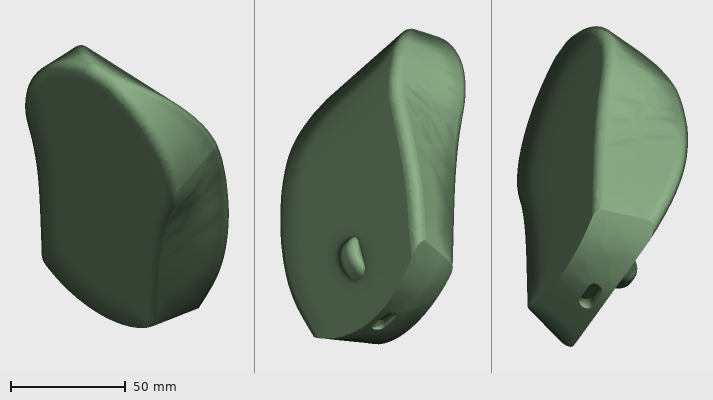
import cadquery as cq
import math

length = 170.1

nose_half_width = 5.6
base_flank_mid = (29.8, 153.6)
base_flank_end = (41.9, 119.1)
roof_flank_mid = (26.4, 145.3)
roof_flank_end = (38.5, 119.1)
nose_corner_radius = 6.8
base_flank_slope = 0.0
roof_flank_slope = -0.2

nose_height = 6.5
crest_height = 41.5
crest_z = 91.9
front_arc_mid = (34.7, 42.5)
front_arc_end = (19.9, -3.4)

roof_level = 42.5
base_waist = [(38.1, 100.4), (33.9, 79.6), (31.8, 56.1), (31.0, 20.8)]
roof_waist = [(42.7, 93.5), (45.8, 80.0), (49.7, 57.8), (50.7, 34.0), (45.8, 15.0)]
base_corner_slope = 0.0
roof_corner_slope = 0.35
base_front_z = 7.0
roof_front_z = -7.0

edge_radius = 4.5
flat_tolerance = 0.02
base_edge_min_z = 25.5
roof_edge_min_length = 17.0

slot_height = 15.0
slot_radius = 3.0
slot_straight = 7.7
slot_end_z = 8.5

wheel_radius = 12.5
wheel_width = 10.2
wheel_rim_radius = 3.7
wheel_height = 24.7
wheel_z = 31.6


def mirrored(points):
    """The same points on the other side of X = 0, in reverse order."""
    return [(-x, z) for x, z in reversed(points)]


def outline(workplane, flank_mid, flank_end, flank_slope, waist, corner_slope, front_z):
    """Closed outline, symmetric about X = 0, running once around from the nose."""
    right_side = [flank_end] + waist
    left_side = mirrored(right_side)
    return (
        workplane.moveTo(-nose_half_width, length)
        .lineTo(nose_half_width, length)
        .threePointArc(flank_mid, flank_end)
        .spline(right_side[1:], tangents=[(-flank_slope, -1), (-corner_slope, -1)], includeCurrent=True)
        .threePointArc((0, front_z), left_side[0])
        .spline(left_side[1:], tangents=[(-corner_slope, 1), (-flank_slope, 1)], includeCurrent=True)
        .threePointArc(*mirrored([(nose_half_width, length), flank_mid]))
        .close()
    )


def make_shell():
    base = outline(
        cq.Workplane("XZ"),
        base_flank_mid, base_flank_end, base_flank_slope,
        base_waist, base_corner_slope, base_front_z,
    )
    base_and_roof = outline(
        base.workplane(offset=-roof_level),
        roof_flank_mid, roof_flank_end, roof_flank_slope,
        roof_waist, roof_corner_slope, roof_front_z,
    )
    return base_and_roof.loft(ruled=True)


def make_roof_volume():
    """Everything below the roof, as a prism along X that is wider than the mouse."""
    reach = length
    rise = crest_height - nose_height
    run = length - crest_z
    rear_radius = (rise ** 2 + run ** 2) / (2 * rise)
    mid_z = (length + crest_z) / 2
    mid_y = crest_height - rear_radius + math.sqrt(rear_radius ** 2 - (mid_z - crest_z) ** 2)
    return (
        cq.Workplane("YZ")
        .moveTo(0, front_arc_end[1])
        .lineTo(0, length)
        .lineTo(nose_height, length)
        .threePointArc((mid_y, mid_z), (crest_height, crest_z))
        .threePointArc(front_arc_mid, front_arc_end)
        .close()
        .extrude(reach, both=True)
    )


def is_base_edge(edge):
    """Base edge around the nose, flanks and waists; the front wall keeps a sharp edge."""
    box = edge.BoundingBox()
    return box.ymax < flat_tolerance and edge.Center().z > base_edge_min_z


def is_roof_edge(edge):
    """Long edge between the roof and a side wall, on one side of X = 0."""
    box = edge.BoundingBox()
    on_one_side = box.xmin > flat_tolerance or box.xmax < -flat_tolerance
    return on_one_side and box.ymin > flat_tolerance and box.zlen > roof_edge_min_length


def is_nose_corner(edge):
    """Upright edge between the flat nose and a flank."""
    box = edge.BoundingBox()
    return box.zmin > length - flat_tolerance and box.xlen < flat_tolerance


def round_edges(body, is_wanted, radius):
    edges = [edge for edge in body.edges().vals() if is_wanted(edge)]
    return body.newObject(edges).fillet(radius)


def make_cable_slot():
    return (
        cq.Workplane("XY")
        .center(0, slot_height)
        .slot2D(slot_straight + 2 * slot_radius, 2 * slot_radius)
        .extrude(slot_end_z)
    )


def make_wheel():
    return (
        cq.Workplane("YZ")
        .center(wheel_height, wheel_z)
        .circle(wheel_radius)
        .extrude(wheel_width / 2, both=True)
        .edges()
        .fillet(wheel_rim_radius)
    )


def make_housing(wheel):
    body = make_shell().intersect(make_roof_volume())
    body = round_edges(body, is_nose_corner, nose_corner_radius)
    body = round_edges(body, is_base_edge, edge_radius)
    body = round_edges(body, is_roof_edge, edge_radius)
    return body.cut(make_cable_slot()).cut(wheel)


wheel = make_wheel()
housing = make_housing(wheel)
result = cq.Compound.makeCompound([housing.val(), wheel.val()])